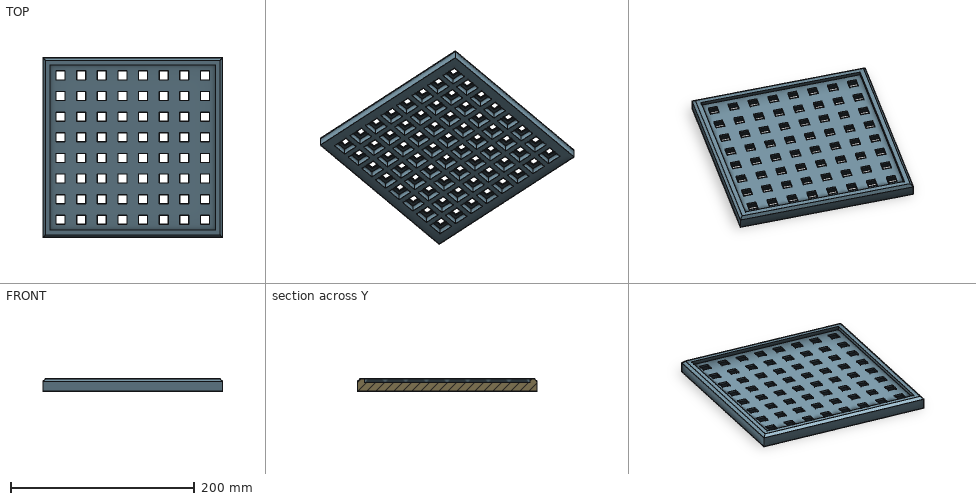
import cadquery as cq

plate_side = 196.0
plate_height = 14.0
top_chamfer = 3.0

tray_side = 180.0
tray_depth = 4.0
floor_thickness = 2.2
floor_underside = plate_height - tray_depth - floor_thickness

cells_per_side = 8
cell_pitch = tray_side / cells_per_side
window_side = 9.6
cell_side = 16.5


def make_plate():
    """Square plate with its bottom on Z = 0 and its upper outer edges bevelled."""
    plate = cq.Workplane("XY").box(plate_side, plate_side, plate_height, centered=(True, True, False))
    return plate.faces(">Z").chamfer(top_chamfer)


def make_tray():
    """Square block that sinks the tray into the top face, leaving a raised rim."""
    return (
        cq.Workplane("XY")
        .workplane(offset=plate_height - tray_depth)
        .rect(tray_side, tray_side)
        .extrude(tray_depth)
    )


def make_square_grid(side, height):
    """Centred grid of square columns standing on Z = 0."""
    return (
        cq.Workplane("XY")
        .rarray(cell_pitch, cell_pitch, cells_per_side, cells_per_side)
        .rect(side, side)
        .extrude(height)
    )


plate_with_tray = make_plate().cut(make_tray())
windows = make_square_grid(window_side, plate_height)
underside_cells = make_square_grid(cell_side, floor_underside)

result = plate_with_tray.cut(windows).cut(underside_cells)